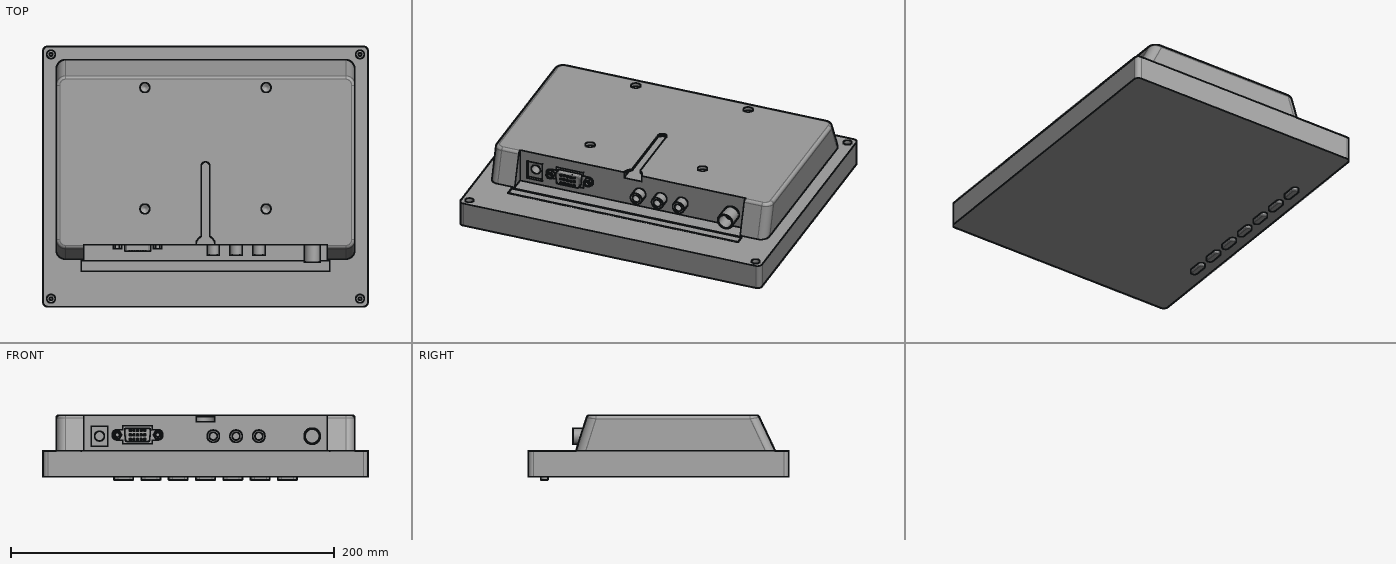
import cadquery as cq
import math

PANEL_LENGTH = 201.0
PANEL_WIDTH = 161.0
PANEL_THICKNESS = 16.0
PANEL_CORNER_RADIUS = 3.0

DRILL_POINT_ANGLE = 118.0

SCREW_INSET = 5.0
SCREW_HEAD_RADIUS = 2.6
SCREW_HEAD_DEPTH = 3.0
SCREW_SHANK_RADIUS = 1.0
SCREW_SHANK_DEPTH = 8.0

LABEL_LENGTH = 153.4
LABEL_WIDTH = 6.2
LABEL_DEPTH = 0.6
LABEL_Y = -55.3

BUTTON_COUNT = 7
BUTTON_PITCH = 16.9
BUTTON_LENGTH = 12.0
BUTTON_WIDTH = 4.6
BUTTON_HEIGHT = 2.0
BUTTON_EDGE_RADIUS = 0.6
BUTTON_Y = -70.5

COVER_LENGTH = 184.7
COVER_HEIGHT = 22.1
COVER_BACK_Y = 72.2
COVER_FRONT_Y = -51.0
COVER_BACK_RUN = 10.5
COVER_FRONT_RUN = 7.0
COVER_CORNER_RADIUS = 5.6
COVER_TOP_RADIUS = 2.2
COVER_TOP_Z = PANEL_THICKNESS + COVER_HEIGHT

BAY_LENGTH = 150.3
BAY_WALL_Y = -42.2

MOUNT_PITCH = 75.0
MOUNT_CENTRE_Y = 17.5
MOUNT_RADIUS = 3.0
MOUNT_DEPTH = 2.5

HANGER_SLOT_WIDTH = 5.5
HANGER_SLOT_END_Y = 9.0
HANGER_LIP_THICKNESS = 1.2
HANGER_ENTRY_RADIUS = 5.8
HANGER_DEPTH = 4.0

SOCKET_Z = PANEL_THICKNESS + 9.0
AUDIO_COUNT = 3
AUDIO_CENTRE_X = 18.9
AUDIO_PITCH = 14.0
AUDIO_RADIUS = 3.8
AUDIO_BORE_RADIUS = 2.5
AUDIO_LENGTH = 6.5
AERIAL_X = 66.0
AERIAL_RADIUS = 5.0
AERIAL_BORE_RADIUS = 4.5
AERIAL_LENGTH = 10.7

POWER_X = -65.5
POWER_Z = PANEL_THICKNESS + 9.0
POWER_LENGTH = 10.3
POWER_HEIGHT = 12.3
POWER_RECESS_DEPTH = 2.0
POWER_SOCKET_RADIUS = 3.0
POWER_SOCKET_DEPTH = 8.0

VIDEO_X = -42.0
VIDEO_Z = PANEL_THICKNESS + 9.8
FLANGE_LENGTH = 18.0
FLANGE_HEIGHT = 11.0
FLANGE_THICKNESS = 1.0
TAB_RADIUS = 3.2
SHELL_TOP_LENGTH = 16.3
SHELL_BOTTOM_LENGTH = 14.9
SHELL_HEIGHT = 8.2
SHELL_REACH = 3.8
SHELL_CORNER_RADIUS = 1.2
SHELL_EDGE_RADIUS = 0.5
PIN_ROWS = 3
PIN_COLUMNS = 5
PIN_ROW_PITCH = 2.8
PIN_COLUMN_PITCH = 2.2
PIN_RADIUS = 0.6
PIN_DEPTH = 2.0

JACK_SCREW_SPACING = 25.0
JACK_SCREW_CORNER_RADIUS = 2.6
JACK_SCREW_REACH = 2.5
JACK_SCREW_BORE_RADIUS = 1.5


def wall_plane(x, z, forward=0.0):
    """Sketch plane parallel to the bay wall, its normal pointing out of the wall (-Y)."""
    origin = (x, BAY_WALL_Y - forward, z)
    return cq.Workplane(cq.Plane(origin=origin, xDir=(1, 0, 0), normal=(0, -1, 0)))


def make_panel():
    panel = cq.Workplane("XY").box(PANEL_LENGTH, PANEL_WIDTH, PANEL_THICKNESS, centered=(True, True, False))
    return panel.edges("|Z").fillet(PANEL_CORNER_RADIUS)


def make_cover():
    side_outline = [
        (COVER_FRONT_Y, PANEL_THICKNESS),
        (COVER_BACK_Y, PANEL_THICKNESS),
        (COVER_BACK_Y - COVER_BACK_RUN, COVER_TOP_Z),
        (COVER_FRONT_Y + COVER_FRONT_RUN, COVER_TOP_Z),
    ]
    cover = cq.Workplane("YZ").polyline(side_outline).close().extrude(COVER_LENGTH / 2, both=True)
    cover = cover.edges("not(#Z or |X)").fillet(COVER_CORNER_RADIUS)
    return cover.faces(">Z").edges().fillet(COVER_TOP_RADIUS)


def connector_bay():
    bay_width = BAY_WALL_Y - COVER_FRONT_Y
    bay = cq.Workplane("XY", origin=(0, BAY_WALL_Y - bay_width / 2, PANEL_THICKNESS))
    return bay.box(BAY_LENGTH, bay_width, COVER_HEIGHT, centered=(True, True, False))


def drilled_hole(radius, depth):
    """Round hole going down from the origin, its straight part ending in a drill point."""
    point_depth = radius / math.tan(math.radians(DRILL_POINT_ANGLE / 2))
    half_outline = [(0, 0), (radius, 0), (radius, -depth), (0, -depth - point_depth)]
    return cq.Workplane("XZ").polyline(half_outline).close().revolve(360, (0, 0, 0), (0, 1, 0)).val()


def panel_screw_holes():
    spacing_x = PANEL_LENGTH - 2 * SCREW_INSET
    spacing_y = PANEL_WIDTH - 2 * SCREW_INSET
    centres = cq.Workplane("XY", origin=(0, 0, PANEL_THICKNESS)).rarray(spacing_x, spacing_y, 2, 2)
    heads = centres.circle(SCREW_HEAD_RADIUS).extrude(-SCREW_HEAD_DEPTH)
    shank = drilled_hole(SCREW_SHANK_RADIUS, SCREW_SHANK_DEPTH)
    return heads.union(centres.eachpoint(lambda place: shank.moved(place)))


def label_recess():
    face = cq.Workplane("XY", origin=(0, LABEL_Y, PANEL_THICKNESS))
    return face.rect(LABEL_LENGTH, LABEL_WIDTH).extrude(-LABEL_DEPTH)


def mounting_holes():
    hole = drilled_hole(MOUNT_RADIUS, MOUNT_DEPTH)
    cover_top = cq.Workplane("XY", origin=(0, MOUNT_CENTRE_Y, COVER_TOP_Z))
    centres = cover_top.rarray(MOUNT_PITCH, MOUNT_PITCH, 2, 2)
    return centres.eachpoint(lambda place: hole.moved(place))


def hanger_channel(width, top_z, bottom_z):
    """Channel running back from the bay wall to a half-round end."""
    end_centre_y = HANGER_SLOT_END_Y - HANGER_SLOT_WIDTH / 2
    run = end_centre_y - BAY_WALL_Y
    top = cq.Workplane("XY", origin=(0, end_centre_y, top_z))
    straight = top.center(0, -run / 2).rect(width, run).extrude(bottom_z - top_z)
    return straight.union(top.circle(width / 2).extrude(bottom_z - top_z))


def keyhole_hanger():
    lip_z = COVER_TOP_Z - HANGER_LIP_THICKNESS
    floor_z = COVER_TOP_Z - HANGER_DEPTH
    slot = hanger_channel(HANGER_SLOT_WIDTH, COVER_TOP_Z, lip_z)
    undercut = hanger_channel(2 * HANGER_ENTRY_RADIUS, lip_z, floor_z)
    entry = cq.Workplane("XY", origin=(0, BAY_WALL_Y, COVER_TOP_Z))
    entry = entry.circle(HANGER_ENTRY_RADIUS).extrude(-HANGER_DEPTH)
    return slot.union(undercut).union(entry)


def power_inlet():
    recess = wall_plane(POWER_X, POWER_Z).rect(POWER_LENGTH, POWER_HEIGHT).extrude(-POWER_RECESS_DEPTH)
    recess_floor = wall_plane(POWER_X, POWER_Z, -POWER_RECESS_DEPTH)
    return recess.union(recess_floor.circle(POWER_SOCKET_RADIUS).extrude(-POWER_SOCKET_DEPTH))


def socket(x, radius, bore_radius, length):
    return wall_plane(x, SOCKET_Z).circle(radius).circle(bore_radius).extrude(length)


def button(x):
    underside = cq.Workplane("XY", origin=(x, BUTTON_Y, 0))
    key = underside.slot2D(BUTTON_LENGTH, BUTTON_WIDTH).extrude(-BUTTON_HEIGHT)
    return key.faces("<Z").edges().fillet(BUTTON_EDGE_RADIUS)


def make_housing():
    housing = make_panel().union(make_cover().cut(connector_bay()))
    housing = housing.cut(panel_screw_holes())
    housing = housing.cut(label_recess())
    housing = housing.cut(mounting_holes())
    housing = housing.cut(keyhole_hanger())
    housing = housing.cut(power_inlet())
    housing = housing.cut(video_flange())
    for index in range(AUDIO_COUNT):
        x = AUDIO_CENTRE_X + (index - (AUDIO_COUNT - 1) / 2) * AUDIO_PITCH
        housing = housing.union(socket(x, AUDIO_RADIUS, AUDIO_BORE_RADIUS, AUDIO_LENGTH))
    housing = housing.union(socket(AERIAL_X, AERIAL_RADIUS, AERIAL_BORE_RADIUS, AERIAL_LENGTH))
    for index in range(BUTTON_COUNT):
        housing = housing.union(button((index - (BUTTON_COUNT - 1) / 2) * BUTTON_PITCH))
    return housing


def video_flange():
    """Flange sunk flush into the bay wall; it also shapes its recess in the housing."""
    wall = wall_plane(VIDEO_X, VIDEO_Z)
    tabs = wall.slot2D(JACK_SCREW_SPACING + 2 * TAB_RADIUS, 2 * TAB_RADIUS).extrude(-FLANGE_THICKNESS)
    return wall.rect(FLANGE_LENGTH, FLANGE_HEIGHT).extrude(-FLANGE_THICKNESS).union(tabs)


def make_video_connector():
    shell_outline = [
        (-SHELL_BOTTOM_LENGTH / 2, -SHELL_HEIGHT / 2),
        (SHELL_BOTTOM_LENGTH / 2, -SHELL_HEIGHT / 2),
        (SHELL_TOP_LENGTH / 2, SHELL_HEIGHT / 2),
        (-SHELL_TOP_LENGTH / 2, SHELL_HEIGHT / 2),
    ]
    shell = wall_plane(VIDEO_X, VIDEO_Z).polyline(shell_outline).close().extrude(SHELL_REACH)
    shell = shell.edges("|Y").fillet(SHELL_CORNER_RADIUS)
    shell = shell.faces("<Y").edges().fillet(SHELL_EDGE_RADIUS)

    shell_end = wall_plane(VIDEO_X, VIDEO_Z, SHELL_REACH)
    pin_centres = shell_end.rarray(PIN_COLUMN_PITCH, PIN_ROW_PITCH, PIN_COLUMNS, PIN_ROWS)
    pins = pin_centres.circle(PIN_RADIUS).extrude(-PIN_DEPTH)
    return video_flange().union(shell).cut(pins)


def make_jack_screw(side):
    x = VIDEO_X + side * JACK_SCREW_SPACING / 2
    hexagon = wall_plane(x, VIDEO_Z).polygon(6, 2 * JACK_SCREW_CORNER_RADIUS)
    return hexagon.circle(JACK_SCREW_BORE_RADIUS).extrude(JACK_SCREW_REACH)


housing = make_housing()
video_connector = make_video_connector()
jack_screws = [make_jack_screw(side).val() for side in (-1, 1)]

result = cq.Compound.makeCompound([housing.val(), video_connector.val(), *jack_screws])